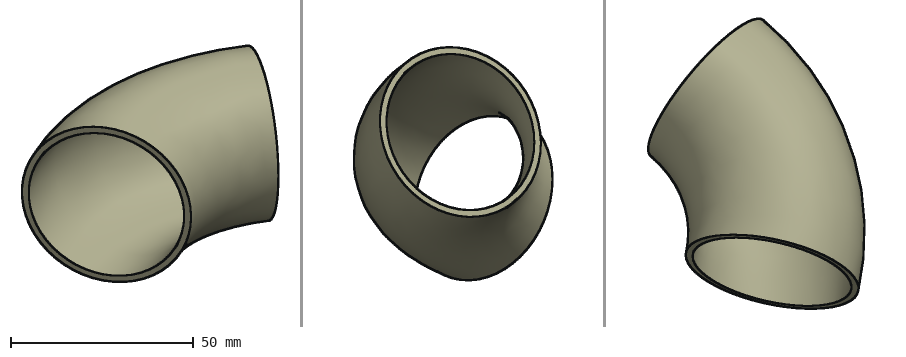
import cadquery as cq
import math

elbow_length = 70.3
outer_diameter = 48.3
wall_thickness = 2.0
bend_angle = 60.0

outer_radius = outer_diameter / 2
inner_radius = outer_radius - wall_thickness

outer_bend_radius = elbow_length / math.sin(math.radians(bend_angle))
bend_radius = outer_bend_radius - outer_radius

pipe_section = cq.Workplane("XZ").circle(outer_radius).circle(inner_radius)

axis_start = (bend_radius, 0.7)
axis_end = (bend_radius, 0)
result = pipe_section.revolve(bend_angle, axis_start, axis_end)